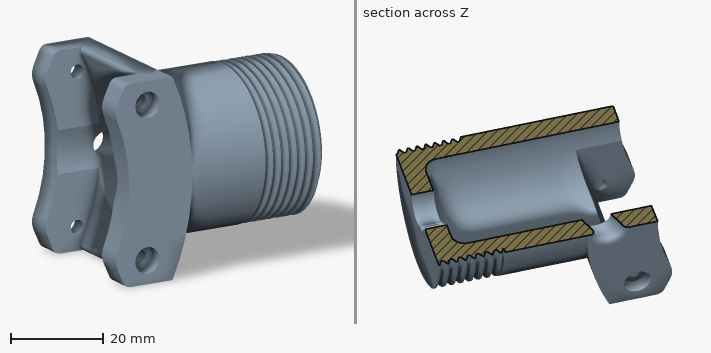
import cadquery as cq
import math

length = 52.65
width = 36.0
height = 46.0
half_height = height / 2

saddle_axis_y = -36.2
back_radius = 55.45
web_radius = 49.85
lug_radius = 39.5

lug_thickness = 6.0
nose_radius = 5.0
lug_corner_radius = 2.0
lug_slope = 24.0
lip_radius = 1.0

screw_y = 7.85
screw_z = 17.6
screw_diameter = 3.2
head_diameter = 6.0
head_depth = 3.0

bore_diameter = 26.0
bore_floor_radius = 3.0
floor_thickness = 5.0

thread_length = 14.95
thread_pitch = 2.0
thread_root_diameter = 33.55
thread_crest_diameter = 35.8
thread_crest_width = 0.25
thread_half_angle = 30.0
thread_overlap = 0.15
thread_crest_y = 51.05

opening_radius = 4.1
collar_radius = 5.2
collar_height = 5.9
key_reach = 6.55
key_height = 2.1
cut_margin = 0.55

side_hole_diameter = 6.0
side_hole_y = 13.75
side_hole_tilt = 22.0
side_hole_rim_radius = 1.0

shoulder_y = length - thread_length
bore_floor_y = length - floor_thickness
channel_width = width - 2 * lug_thickness


def saddle_y(radius, z):
    """Y of a saddle arc of the given radius at height z."""
    return saddle_axis_y + math.sqrt(radius**2 - z**2)


def x_prism(outline, x_size):
    """Extrude a Y-Z outline evenly to both sides of X = 0."""
    return outline.extrude(x_size / 2, both=True)


def y_cylinder(diameter, start, end):
    return cq.Workplane("XZ", origin=(0, start, 0)).circle(diameter / 2).extrude(start - end)


def saddle_block():
    """Side outline of the saddle with both lugs, extruded over the full width."""
    nose_y = nose_radius
    nose_distance = lug_radius + nose_radius
    nose_z = math.sqrt(nose_distance**2 - (nose_y - saddle_axis_y)**2)
    hollow_z = nose_z * lug_radius / nose_distance

    slope = math.radians(lug_slope)
    slope_y = nose_y - nose_radius * math.cos(slope)
    slope_z = nose_z + nose_radius * math.sin(slope)
    corner_y = slope_y + (half_height - slope_z) * math.tan(slope)

    corner_turn = math.pi / 2 - slope
    corner_run = lug_corner_radius * math.tan(corner_turn / 2)
    arc_y = corner_y + corner_run
    arc_z = half_height - lug_corner_radius
    middle = corner_turn / 2
    corner_start = (corner_y - corner_run * math.sin(slope), half_height - corner_run * math.cos(slope))
    corner_middle = (
        arc_y - lug_corner_radius * math.sin(middle),
        arc_z + lug_corner_radius * math.cos(middle),
    )
    corner_end = (arc_y, half_height)
    hollow_end = (saddle_y(lug_radius, hollow_z), hollow_z)
    slope_start = (slope_y, slope_z)
    back_corner = (saddle_y(back_radius, half_height), half_height)

    def below(point):
        return (point[0], -point[1])

    outline = (
        cq.Workplane("YZ")
        .moveTo(*below(hollow_end))
        .threePointArc((saddle_y(lug_radius, 0), 0), hollow_end)
        .threePointArc((0, nose_z), slope_start)
        .lineTo(*corner_start)
        .threePointArc(corner_middle, corner_end)
        .lineTo(*back_corner)
        .threePointArc((saddle_y(back_radius, 0), 0), below(back_corner))
        .lineTo(*below(corner_end))
        .threePointArc(below(corner_middle), below(corner_start))
        .lineTo(*below(slope_start))
        .threePointArc((0, -nose_z), below(hollow_end))
        .close()
    )
    return x_prism(outline, width)


def channel():
    """Space between the lugs, flaring out where it rounds over the saddle ends."""
    lip_z = half_height - lip_radius
    lip_distance = web_radius + lip_radius
    lip_y = saddle_axis_y + math.sqrt(lip_distance**2 - lip_z**2)
    lip_start_z = lip_z * web_radius / lip_distance
    lip_start_y = saddle_y(web_radius, lip_start_z)
    middle = math.asin(lip_z / lip_distance) / 2 - math.pi / 4
    lip_middle_y = lip_y - lip_radius * math.cos(middle)
    lip_middle_z = lip_z - lip_radius * math.sin(middle)
    outline = (
        cq.Workplane("YZ")
        .moveTo(0, -half_height)
        .lineTo(lip_y, -half_height)
        .threePointArc((lip_middle_y, -lip_middle_z), (lip_start_y, -lip_start_z))
        .threePointArc((saddle_y(web_radius, 0), 0), (lip_start_y, lip_start_z))
        .threePointArc((lip_middle_y, lip_middle_z), (lip_y, half_height))
        .lineTo(0, half_height)
        .close()
    )
    return x_prism(outline, channel_width)


def barrel():
    """Smooth barrel, started inside the saddle."""
    return y_cylinder(width, saddle_y(back_radius, half_height), shoulder_y)


def threaded_end():
    """Core with a right-handed ridge, trimmed flush with the shoulder and the barrel end."""
    root = thread_root_diameter / 2 - thread_overlap
    crest = thread_crest_diameter / 2
    half_crest = thread_crest_width / 2
    half_root = half_crest + (crest - root) * math.tan(math.radians(thread_half_angle))

    helix_height = thread_length + 2 * thread_pitch
    helix = cq.Wire.makeHelix(thread_pitch, helix_height, root)
    ridge = (
        cq.Workplane("XZ")
        .polyline([(root, -half_root), (crest, -half_crest), (crest, half_crest), (root, half_root)])
        .close()
        .sweep(cq.Workplane(helix), isFrenet=True)
        .rotate((0, 0, 0), (1, 1, 1), -120)
    )
    turns_below = math.ceil((thread_crest_y - shoulder_y) / thread_pitch) + 1
    ridge = ridge.translate((0, thread_crest_y - turns_below * thread_pitch, 0))
    core = y_cylinder(thread_root_diameter, shoulder_y - thread_pitch, length + thread_pitch)
    return core.union(ridge).intersect(y_cylinder(width, shoulder_y, length))


def bore():
    return y_cylinder(bore_diameter, 0, bore_floor_y).faces(">Y").edges().fillet(bore_floor_radius)


def keyed_opening():
    """Round opening with a wider flat-sided collar and a narrow key on the -X side."""
    start = bore_floor_y - cut_margin

    def bar(reach, bar_height):
        depth = length - start
        solid = cq.Workplane("XY").box(reach, depth, bar_height)
        return solid.translate((-reach / 2, start + depth / 2, 0))

    collar = y_cylinder(2 * collar_radius, start, length).intersect(bar(collar_radius, collar_height))
    return y_cylinder(2 * opening_radius, start, length).union(collar).union(bar(key_reach, key_height))


def screw_holes():
    centres = [(screw_y, -screw_z), (screw_y, screw_z)]

    def drilled(diameter, x_size):
        return x_prism(cq.Workplane("YZ").pushPoints(centres).circle(diameter / 2), x_size)

    heads = drilled(head_diameter, width).cut(drilled(head_diameter, width - 2 * head_depth))
    return drilled(screw_diameter, width).union(heads)


def with_side_hole(body):
    """Drill from the -X face into the bore and round the rim."""
    tilt = math.radians(side_hole_tilt)
    axis = cq.Vector(math.cos(tilt), math.sin(tilt), 0)
    entry = cq.Vector(-width / 2, side_hole_y, 0)
    start = entry - axis * side_hole_diameter
    depth = side_hole_diameter + width / 2
    drill = cq.Solid.makeCylinder(side_hole_diameter / 2, depth, start, axis)
    rim = cq.selectors.NearestToPointSelector(entry.toTuple())
    return body.cut(drill).faces("<X").edges(rim).fillet(side_hole_rim_radius)


body = saddle_block().cut(channel()).union(barrel()).union(threaded_end())
body = body.cut(bore()).cut(keyed_opening()).cut(screw_holes())
result = with_side_hole(body)